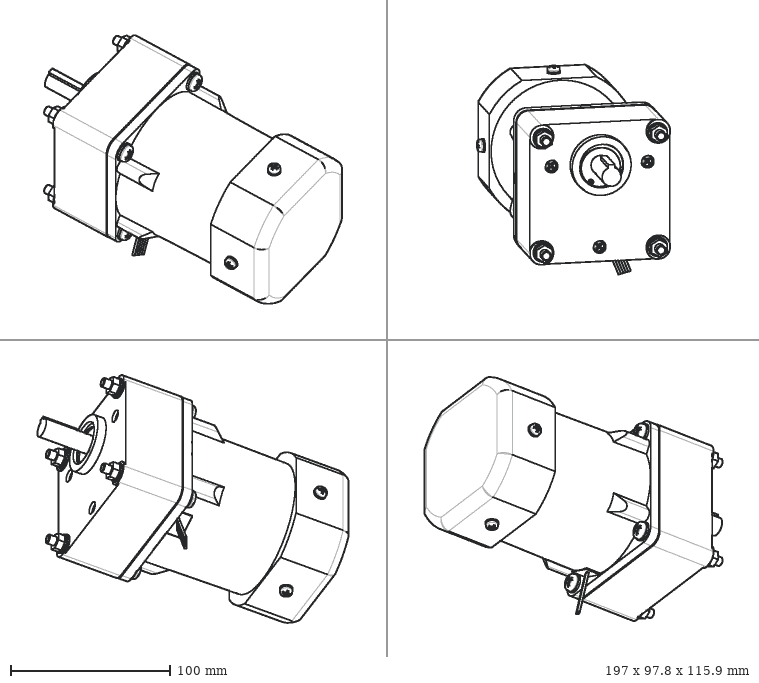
import cadquery as cq
import math

LENGTH = 197.0

BOLT_TIP_X = 23.5
NUT_X = 28.8
LOCK_WASHER_X = 33.3
BOSS_X = 29.7
PAD_X = 34.5
GEARBOX_X = 35.7
JOINT_X = 76.0
FLANGE_BACK_X = 83.1
CAP_X = 156.8
CAP_SCREW_X = 173.5

SIDE = 90.0
HALF_SIDE = SIDE / 2
GEARBOX_CORNER_RADIUS = 7.5
PAD_RADIUS = 7.7
FLANGE_CORNER_RADIUS = 8.0
JOINT_WIDTH = 0.5
JOINT_DEPTH = 0.3
BOLT_OFFSET = 36.8
BOLT_POINTS = [(sy * BOLT_OFFSET, sz * BOLT_OFFSET) for sy in (-1, 1) for sz in (-1, 1)]

BOLT_RADIUS = 3.0
BOLT_CHAMFER = 0.5
NUT_ACROSS_CORNERS = 11.5
WASHER_RADIUS = 6.1
WASHER_THICKNESS = 1.4
BOLT_HEAD_RADIUS = 5.7
BOLT_HEAD_HEIGHT = 3.5
BOLT_HEAD_FILLET = 2.5

SHAFT_Z = 18.0
SHAFT_RADIUS = 6.1
KEY_LENGTH = 25.0
KEY_WIDTH = 4.1
KEY_TOP = 7.9
BOSS_RADIUS = 19.0
RECESS_RADIUS = 14.0
RECESS_DEPTH = 3.5

RING_THICKNESS = 1.2
RING_INNER_RADIUS = 12.6
RING_OFFSET = RECESS_RADIUS - RING_INNER_RADIUS
RING_EAR_RADIUS = 1.5
RING_EAR_HOLE_RADIUS = 0.69
RING_EAR_Y = 6.3
RING_EAR_Z = -10.6

COVER_SCREW_CIRCLE = 35.7
COVER_SCREW_ANGLES = (30, 150, 270)
COVER_HOLE_RADIUS = 4.0
COVER_HOLE_DEPTH = 3.5
COVER_HEAD_RADIUS = 3.3
COVER_HEAD_HEIGHT = 1.8
COVER_HEAD_FILLET = 0.5
COVER_RECESS_ANGLE = 45

BARREL_FRONT_RADIUS = 44.7
BARREL_BACK_RADIUS = 43.7

RIB_ANGLE = 33.5
RIB_HALF_WIDTH = 6.3
RIB_SIDE_SLOPE = 25.0
RIB_TIP_FILLET = 4.3
RIB_BASE_RADIUS = 43.7
RIB_ROOT_RADIUS = 37.5
RIB_BACK_X = 108.5
RIB_RUNOUT_ANGLE = 42.0

CAP_SIDE = 89.6
CAP_CORNER_RADIUS = 50.8
CAP_EDGE_FILLET = 6.9
CAP_SCREW_TIP = 48.9
SPRING_WASHER_RADIUS = 4.1
SPRING_WASHER_THICKNESS = 1.0
SPRING_WASHER_GAP = 0.4
CAP_HEAD_RADIUS = 4.0
CAP_HEAD_FILLET = 1.8

CABLE_TILT = 22.0
OUTLET_Y = -17.3
OUTLET_Z = -41.4
OUTLET_WIDTH = 16.5
OUTLET_DEPTH = 7.9
OUTLET_BACK_X = 93.8
WIRE_COUNT = 5
WIRE_RADIUS = 0.89
CABLE_X = 87.7
WIRE_STEP_X = 0.75
WIRE_STEP_ACROSS = 1.54
CABLE_BOTTOM_Z = -67.0

OVERLAP = 0.5


def section(x):
    """Plane across the motor axis at station x, with local axes Y and Z."""
    return cq.Workplane("YZ", origin=(x, 0, 0))


def disc(x_start, x_end, radius, y=0.0, z=0.0):
    return section(x_start).center(y, z).circle(radius).extrude(x_end - x_start)


def rounded_square(x_start, x_end, side, corner_radius):
    block = section(x_start).rect(side, side).extrude(x_end - x_start)
    return block.edges("|X").fillet(corner_radius)


def pan_head(radius, height, edge_fillet):
    """Cross-recessed screw head standing on the plane x = 0 and facing +X."""
    slot_length = 1.3 * radius
    slot_width = 0.3 * radius
    slot_depth = 0.5 * height
    head = disc(-OVERLAP, height, radius).faces(">X").edges().fillet(edge_fillet)
    recess = section(height - slot_depth).rect(slot_length, slot_width).extrude(height)
    return head.cut(recess).cut(recess.rotate((0, 0, 0), (1, 0, 0), 90))


def gearbox():
    """Gearbox body, inset joint and mounting flange."""
    pad_offset = HALF_SIDE - GEARBOX_CORNER_RADIUS
    step_depth = GEARBOX_X - PAD_X
    step = section(PAD_X).rect(2 * pad_offset, 2 * SIDE).extrude(step_depth)
    step = step.union(section(PAD_X).rect(2 * SIDE, 2 * pad_offset).extrude(step_depth))
    for y, z in BOLT_POINTS:
        pad_y = math.copysign(pad_offset, y)
        pad_z = math.copysign(pad_offset, z)
        step = step.cut(disc(PAD_X, GEARBOX_X, PAD_RADIUS, pad_y, pad_z))
    body = rounded_square(PAD_X, JOINT_X, SIDE, GEARBOX_CORNER_RADIUS).cut(step)
    gasket = rounded_square(
        JOINT_X, JOINT_X + JOINT_WIDTH, SIDE - 2 * JOINT_DEPTH, GEARBOX_CORNER_RADIUS
    )
    flange = rounded_square(JOINT_X + JOINT_WIDTH, FLANGE_BACK_X, SIDE, FLANGE_CORNER_RADIUS)
    return body.union(gasket).union(flange)


def add_cover_screws(body):
    head = pan_head(COVER_HEAD_RADIUS, COVER_HEAD_HEIGHT, COVER_HEAD_FILLET)
    head = head.rotate((0, 0, 0), (1, 0, 0), COVER_RECESS_ANGLE).rotate((0, 0, 0), (0, 0, 1), 180)
    floor_x = GEARBOX_X + COVER_HOLE_DEPTH
    for angle in COVER_SCREW_ANGLES:
        y = COVER_SCREW_CIRCLE * math.cos(math.radians(angle))
        z = COVER_SCREW_CIRCLE * math.sin(math.radians(angle))
        body = body.cut(disc(GEARBOX_X, floor_x, COVER_HOLE_RADIUS, y, z))
        body = body.union(head.translate((floor_x, y, z)))
    return body


def retaining_ring():
    """Eccentric ring, open at the bottom, with a drilled ear at each end."""
    floor_x = BOSS_X + RECESS_DEPTH
    front_x = floor_x - RING_THICKNESS
    ring = disc(front_x, floor_x + OVERLAP, RECESS_RADIUS)
    ring = ring.cut(disc(front_x, floor_x + OVERLAP, RING_INNER_RADIUS, 0, -RING_OFFSET))
    opening = section(front_x).center(0, RING_EAR_Z - RECESS_RADIUS / 2)
    ring = ring.cut(opening.rect(2 * RING_EAR_Y, RECESS_RADIUS).extrude(RECESS_DEPTH))
    for y in (-RING_EAR_Y, RING_EAR_Y):
        ring = ring.union(disc(front_x, floor_x + OVERLAP, RING_EAR_RADIUS, y, RING_EAR_Z))
        ring = ring.cut(disc(front_x, floor_x, RING_EAR_HOLE_RADIUS, y, RING_EAR_Z))
    return ring


def output_shaft():
    boss = disc(BOSS_X, GEARBOX_X + OVERLAP, BOSS_RADIUS)
    boss = boss.cut(disc(BOSS_X, BOSS_X + RECESS_DEPTH, RECESS_RADIUS))
    shaft = disc(0, GEARBOX_X, SHAFT_RADIUS)
    straight = KEY_LENGTH - KEY_WIDTH / 2
    key = (
        cq.Workplane("XY")
        .moveTo(0, -KEY_WIDTH / 2)
        .lineTo(straight, -KEY_WIDTH / 2)
        .threePointArc((KEY_LENGTH, 0), (straight, KEY_WIDTH / 2))
        .lineTo(0, KEY_WIDTH / 2)
        .close()
        .extrude(KEY_TOP)
    )
    assembly = boss.union(retaining_ring()).union(shaft).union(key)
    return assembly.translate((0, 0, SHAFT_Z))


def through_bolt():
    """Bolt with nut and washers, centred on the X axis."""
    bolt = disc(BOLT_TIP_X, PAD_X + OVERLAP, BOLT_RADIUS).faces("<X").chamfer(BOLT_CHAMFER)
    nut = section(NUT_X).polygon(6, NUT_ACROSS_CORNERS).extrude(LOCK_WASHER_X - NUT_X)
    nut = nut.rotate((0, 0, 0), (1, 0, 0), 90)
    front_washer = disc(LOCK_WASHER_X, PAD_X + OVERLAP, WASHER_RADIUS)
    head_x = FLANGE_BACK_X + WASHER_THICKNESS
    back_washer = disc(FLANGE_BACK_X - OVERLAP, head_x, WASHER_RADIUS)
    head = pan_head(BOLT_HEAD_RADIUS, BOLT_HEAD_HEIGHT, BOLT_HEAD_FILLET)
    head = head.translate((head_x, 0, 0))
    return [bolt.union(nut).union(front_washer), back_washer.union(head)]


def barrel():
    return (
        section(FLANGE_BACK_X - OVERLAP)
        .circle(BARREL_FRONT_RADIUS)
        .workplane(offset=CAP_X - FLANGE_BACK_X + 2 * OVERLAP)
        .circle(BARREL_BACK_RADIUS)
        .loft()
    )


def rib():
    """Round-topped gusset pointing along +Y, running out into the barrel at its back end."""
    rise = RIB_HALF_WIDTH / math.tan(math.radians(RIB_SIDE_SLOPE))
    outline = [
        (RIB_ROOT_RADIUS, -RIB_HALF_WIDTH),
        (RIB_BASE_RADIUS, -RIB_HALF_WIDTH),
        (RIB_BASE_RADIUS + rise, 0),
        (RIB_BASE_RADIUS, RIB_HALF_WIDTH),
        (RIB_ROOT_RADIUS, RIB_HALF_WIDTH),
    ]
    length = RIB_BACK_X - FLANGE_BACK_X + OVERLAP
    body = section(FLANGE_BACK_X - OVERLAP).polyline(outline).close().extrude(length)
    body = body.edges("|X and >Y").fillet(RIB_TIP_FILLET)
    runout = rise / math.tan(math.radians(RIB_RUNOUT_ANGLE))
    wedge = (
        cq.Workplane("XY")
        .polyline([
            (RIB_BACK_X, RIB_BASE_RADIUS),
            (RIB_BACK_X, RIB_BASE_RADIUS + rise),
            (RIB_BACK_X - runout, RIB_BASE_RADIUS + rise),
        ])
        .close()
        .extrude(RIB_HALF_WIDTH, both=True)
    )
    return body.cut(wedge)


def end_cap():
    """Square cut by a larger circle, rounded around the back face."""
    square = section(CAP_X).rect(CAP_SIDE, CAP_SIDE).extrude(LENGTH - CAP_X)
    cap = square.intersect(disc(CAP_X, LENGTH, CAP_CORNER_RADIUS))
    return cap.faces(">X").edges().fillet(CAP_EDGE_FILLET)


def cap_screw():
    """Screw on a split spring washer, standing on the top of the end cap."""
    washer = disc(-OVERLAP, SPRING_WASHER_THICKNESS, SPRING_WASHER_RADIUS)
    gap = cq.Workplane("XY").box(
        SPRING_WASHER_THICKNESS, SPRING_WASHER_RADIUS, SPRING_WASHER_GAP, centered=(False, False, True)
    )
    head_height = CAP_SCREW_TIP - CAP_SIDE / 2 - SPRING_WASHER_THICKNESS
    head = pan_head(CAP_HEAD_RADIUS, head_height, CAP_HEAD_FILLET)
    screw = washer.cut(gap).union(head.translate((SPRING_WASHER_THICKNESS, 0, 0)))
    screw = screw.rotate((0, 0, 0), (0, 0, 1), 90).rotate((0, 0, 0), (1, 0, 0), 90)
    return screw.translate((CAP_SCREW_X, 0, CAP_SIDE / 2))


def cable():
    """Outlet block and wire row, modelled upright and then tilted about X."""
    outlet_length = OUTLET_BACK_X - FLANGE_BACK_X + OVERLAP
    block = cq.Workplane("XY", origin=(FLANGE_BACK_X - OVERLAP, 0, 0)).box(
        outlet_length, OUTLET_WIDTH, OUTLET_DEPTH, centered=(False, True, False)
    )
    tilt = math.radians(CABLE_TILT)
    last = (WIRE_COUNT - 1) / 2
    drop = OUTLET_Z - CABLE_BOTTOM_Z - (last * WIRE_STEP_ACROSS + WIRE_RADIUS) * math.sin(tilt)
    wire_length = drop / math.cos(tilt)
    for index in range(WIRE_COUNT):
        place = index - last
        start = cq.Workplane("XY", origin=(CABLE_X, 0, OVERLAP))
        wire = (
            start.center(place * WIRE_STEP_X, place * WIRE_STEP_ACROSS)
            .circle(WIRE_RADIUS)
            .extrude(-wire_length - OVERLAP)
        )
        block = block.union(wire)
    return block.rotate((0, 0, 0), (1, 0, 0), -CABLE_TILT).translate((0, OUTLET_Y, OUTLET_Z))


result = add_cover_screws(gearbox()).union(output_shaft())
result = result.union(barrel()).union(end_cap())

bolt_pieces = through_bolt()
for bolt_y, bolt_z in BOLT_POINTS:
    for piece in bolt_pieces:
        result = result.union(piece.translate((0, bolt_y, bolt_z)))

gusset = rib()
for rib_angle in (RIB_ANGLE, 180 - RIB_ANGLE, 180 + RIB_ANGLE, -RIB_ANGLE):
    result = result.union(gusset.rotate((0, 0, 0), (1, 0, 0), rib_angle))

top_screw = cap_screw()
for screw_angle in (0, 90, 180, 270):
    result = result.union(top_screw.rotate((0, 0, 0), (1, 0, 0), screw_angle))

result = result.union(cable())